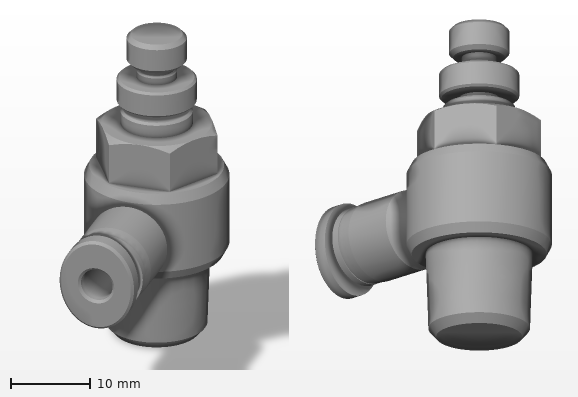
import cadquery as cq
import math

BODY_D = 18.4
BODY_BOTTOM = 11.05
BODY_TOP = 22.92
BODY_BEVEL_WIDTH = 0.65
BODY_BEVEL_HEIGHT = 1.25
PLUG_BOTTOM_D = 12.9
PLUG_TOP_D = 13.6
PLUG_BEVEL_WIDTH = 1.0
PLUG_BEVEL_HEIGHT = 1.1

HEX_FLATS = 14.05
HEX_TOP = 28.85
HEX_BEVEL_ANGLE = 30.0

BOSS_D = 9.15
BOSS_TOP = 30.85
STEM_D = 5.15
STEM_TOP = 36.43
STEM_BEVEL = 0.2
NUT_D = 10.15
NUT_BOTTOM = 31.85
NUT_TOP = 35.3
RIM_BEVEL = 0.3
KNOB_NECK_D = 4.4
KNOB_D = 7.65
KNOB_BOTTOM = 37.3
KNOB_TOP = 41.3
KNOB_BEVEL = 0.55

BRANCH_Z = (BODY_BOTTOM + BODY_TOP) / 2
NECK_D = 6.65
NECK_END = 9.62
SLEEVE_D = 10.35
SLEEVE_START = 11.5
TAPER_START = 18.1
TAPER_END_D = 10.0
RING_D = 10.15
RING_START = 20.07
SLEEVE_END = 21.05
COLLET_D = 5.3
BUTTON_START = 22.5
BUTTON_END = 24.57
BUTTON_WIDTH = 9.9
BUTTON_HEIGHT = 12.15
BUTTON_BEVEL = 0.35
TUBE_D = 4.2
TUBE_BEVEL = 0.35


def disc(diameter, bottom, top):
    """Round disc on the Z axis."""
    return cq.Workplane("XY").workplane(offset=bottom).circle(diameter / 2).extrude(top - bottom)


def turned(profile):
    """Solid turned about the Z axis from (radius, height) points."""
    (_, bottom), (_, top) = profile[0], profile[-1]
    outline = [(0, bottom)] + profile + [(0, top)]
    return cq.Workplane("XZ").polyline(outline).close().revolve(360, (0, 0), (0, 1))


def make_body():
    radius = BODY_D / 2
    rim_radius = radius - BODY_BEVEL_WIDTH
    plug_radius = PLUG_BOTTOM_D / 2
    return turned([
        (plug_radius - PLUG_BEVEL_WIDTH, 0),
        (plug_radius, PLUG_BEVEL_HEIGHT),
        (PLUG_TOP_D / 2, BODY_BOTTOM),
        (rim_radius, BODY_BOTTOM),
        (radius, BODY_BOTTOM + BODY_BEVEL_HEIGHT),
        (radius, BODY_TOP - BODY_BEVEL_HEIGHT),
        (rim_radius, BODY_TOP),
    ])


def make_hexagon():
    """Hexagon whose upper corners are trimmed by a cone touching the flats."""
    corners = HEX_FLATS / math.cos(math.radians(30))
    prism = (
        cq.Workplane("XY").workplane(offset=BODY_TOP)
        .polygon(6, corners).extrude(HEX_TOP - BODY_TOP)
    )
    height = HEX_TOP - BODY_TOP
    spread = height / math.tan(math.radians(HEX_BEVEL_ANGLE))
    cone = turned([(HEX_FLATS / 2 + spread, BODY_TOP), (HEX_FLATS / 2, HEX_TOP)])
    return prism.intersect(cone)


def make_spindle():
    boss = disc(BOSS_D, HEX_TOP, BOSS_TOP).faces(">Z").chamfer(RIM_BEVEL)
    stem = disc(STEM_D, BOSS_TOP, STEM_TOP).faces(">Z").chamfer(STEM_BEVEL)
    nut = disc(NUT_D, NUT_BOTTOM, NUT_TOP).faces("<Z or >Z").chamfer(RIM_BEVEL)
    neck = disc(KNOB_NECK_D, STEM_TOP, KNOB_BOTTOM)
    knob = disc(KNOB_D, KNOB_BOTTOM, KNOB_TOP).faces("<Z or >Z").chamfer(KNOB_BEVEL)
    return boss.union(stem).union(nut).union(neck).union(knob)


def make_branch():
    """Push-in sleeve with an oval release button, turned from the Z axis to -Y."""
    sleeve = turned([
        (NECK_D / 2, 0),
        (NECK_D / 2, NECK_END),
        (SLEEVE_D / 2, SLEEVE_START),
        (SLEEVE_D / 2, TAPER_START),
        (TAPER_END_D / 2, RING_START),
        (RING_D / 2, RING_START),
        (RING_D / 2, SLEEVE_END),
        (COLLET_D / 2, SLEEVE_END),
        (COLLET_D / 2, BUTTON_START),
    ])
    button = (
        cq.Workplane("XY").workplane(offset=BUTTON_START)
        .ellipse(BUTTON_WIDTH / 2, BUTTON_HEIGHT / 2).extrude(BUTTON_END - BUTTON_START)
        .faces(">Z").chamfer(BUTTON_BEVEL)
    )
    branch = sleeve.union(button)
    return branch.rotate((0, 0, 0), (1, 0, 0), 90).translate((0, 0, BRANCH_Z))


def make_tube_hole():
    """Blind hole for the tube, ending at the neck, with a flared mouth."""
    radius = TUBE_D / 2
    hole = turned([
        (radius, NECK_END),
        (radius, BUTTON_END - TUBE_BEVEL),
        (radius + TUBE_BEVEL, BUTTON_END),
    ])
    return hole.rotate((0, 0, 0), (1, 0, 0), 90).translate((0, 0, BRANCH_Z))


result = (
    make_body()
    .union(make_hexagon())
    .union(make_spindle())
    .union(make_branch())
    .cut(make_tube_hole())
)